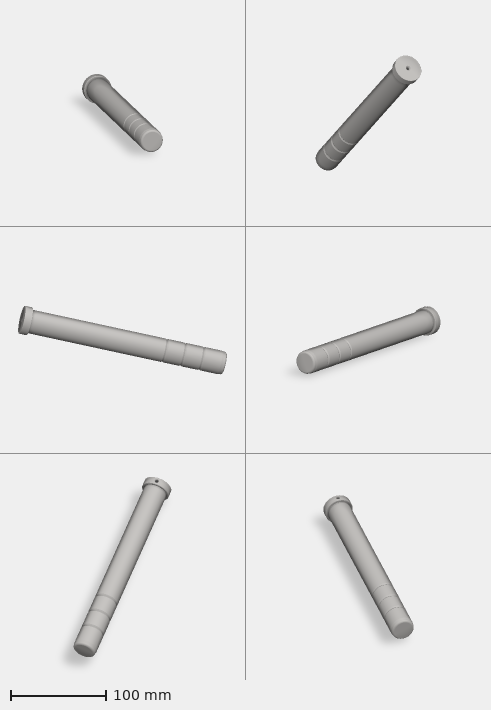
import cadquery as cq
import math

length = 220.0
head_radius = 15.0
head_length = 8.4
head_chamfer = 0.5
head_face_chamfer = 0.2
shaft_radius = 12.5

undercut_depth = 0.2
undercut_length = 2.0
undercut_ramp = 0.9

groove_count = 3
first_groove_x = 154.9
groove_pitch = 20.0
groove_width = 3.0
groove_depth = 0.9

taper_length = 2.9
taper_drop = 0.5
nose_length = 2.5
nose_drop = 2.0
nose_bulge = 0.5

center_hole_diameter = 3.0
center_hole_depth = 6.5
center_sink_diameter = 5.7
cross_hole_x = 4.0
cross_hole_depth = 6.5
cross_hole_diameter = 3.5
cross_sink_diameter = 5.0
drill_point_angle = 118.0
sink_angle = 90.0


def pin_body():
    """Revolve the half profile of head, undercut, shaft and tip."""
    undercut_radius = shaft_radius - undercut_depth
    undercut_end = head_length + undercut_length
    nose_start = length - nose_length
    nose_top = shaft_radius - taper_drop
    nose_middle = (length - nose_length / 2 + nose_bulge, nose_top - nose_drop / 2 + nose_bulge)
    return (
        cq.Workplane("XY")
        .moveTo(0, 0)
        .lineTo(0, head_radius - head_face_chamfer)
        .lineTo(head_face_chamfer, head_radius)
        .lineTo(head_length - head_chamfer, head_radius)
        .lineTo(head_length, head_radius - head_chamfer)
        .lineTo(head_length, undercut_radius)
        .lineTo(undercut_end - undercut_ramp, undercut_radius)
        .lineTo(undercut_end, shaft_radius)
        .lineTo(nose_start - taper_length, shaft_radius)
        .lineTo(nose_start, nose_top)
        .threePointArc(nose_middle, (length, nose_top - nose_drop))
        .lineTo(length, 0)
        .close()
        .revolve(360, (0, 0, 0), (1, 0, 0))
    )


def ring_groove(center_x):
    """Ring with a V-shaped section, closed just outside the shaft."""
    half_width = groove_width / 2
    outer_radius = shaft_radius + groove_depth
    return (
        cq.Workplane("XY")
        .moveTo(center_x - half_width, outer_radius)
        .lineTo(center_x - half_width, shaft_radius)
        .lineTo(center_x, shaft_radius - groove_depth)
        .lineTo(center_x + half_width, shaft_radius)
        .lineTo(center_x + half_width, outer_radius)
        .close()
        .revolve(360, (0, 0, 0), (1, 0, 0))
    )


def countersunk_hole(diameter, sink_diameter, depth):
    """Drill shape going down from the origin along -Z, with a conical mouth above it."""
    radius = diameter / 2
    sink_radius = sink_diameter / 2
    sink_depth = (sink_radius - radius) / math.tan(math.radians(sink_angle / 2))
    point_depth = radius / math.tan(math.radians(drill_point_angle / 2))
    mouth_height = 2.2
    return (
        cq.Workplane("XZ")
        .moveTo(0, mouth_height)
        .lineTo(sink_radius, mouth_height)
        .lineTo(sink_radius, 0)
        .lineTo(radius, -sink_depth)
        .lineTo(radius, -depth)
        .lineTo(0, -depth - point_depth)
        .close()
        .revolve(360, (0, 0, 0), (0, 1, 0))
    )


result = pin_body()
for index in range(groove_count):
    result = result.cut(ring_groove(first_groove_x + index * groove_pitch))

center_hole = countersunk_hole(center_hole_diameter, center_sink_diameter, center_hole_depth)
result = result.cut(center_hole.rotate((0, 0, 0), (0, 1, 0), -90))

cross_hole = countersunk_hole(cross_hole_diameter, cross_sink_diameter, cross_hole_depth)
result = result.cut(cross_hole.translate((cross_hole_x, 0, head_radius)))